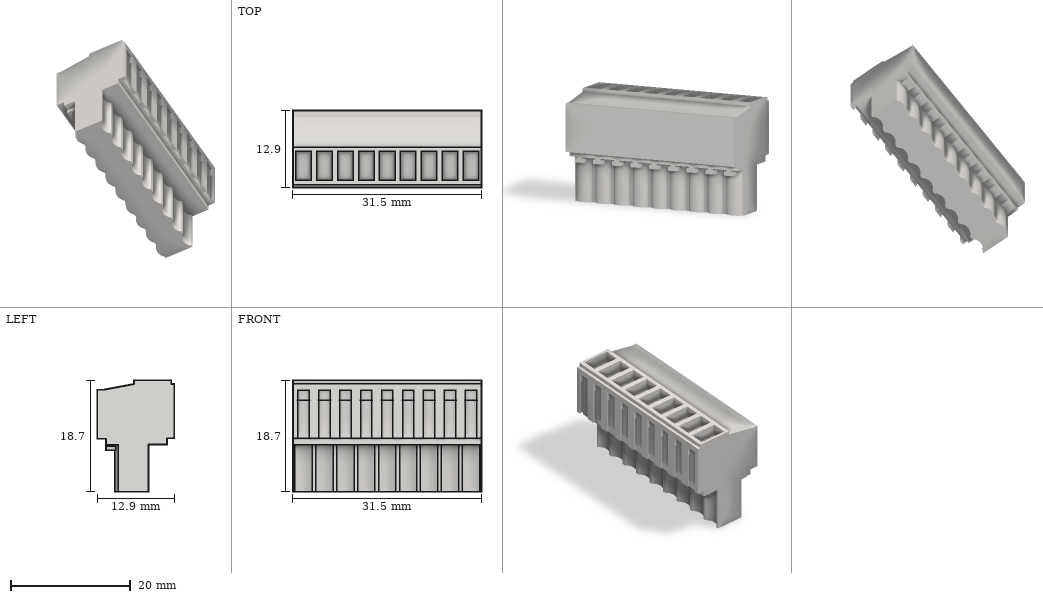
import cadquery as cq

poles = 9
pitch = 3.5
length = poles * pitch
depth = 12.9
height = 18.7
pole_centres = [(i - (poles - 1) / 2) * pitch for i in range(poles)]

lip_y = 0.5
lip_z = 18.05
ridge_back_y = 6.75
slope_top_z = lip_z
slope_end_y = 11.8
back_top_z = 17.1
back_shoulder_z = 8.85
front_shoulder_z = 8.95
neck_front_y = 1.23
neck_back_y = 11.45
leg_top_z = 7.9

leg_front_y = 4.3
leg_back_y = 9.4
round_width = 2.9
flute_depth = 0.73
lobe_rise = 0.58

pocket_width = 2.6
pocket_front_y = 1.2
pocket_back_y = 6.05
pocket_depth = 2.05

slot_width = 1.9
slot_top_z = 17.0
slot_depth = 0.55
groove_top_z = 15.35
groove_floor_width = 2.45

nose_width = 1.7
nose_bottom_z = 6.95
nose_top_z = 7.6
nose_neck_width = 0.8


def box(x_centre, width, y_range, z_range):
    """Block centred on x_centre, spanning the given Y and Z ranges."""
    return (
        cq.Workplane("XY")
        .box(width, y_range[1] - y_range[0], z_range[1] - z_range[0], centered=(True, False, False))
        .translate((x_centre, y_range[0], z_range[0]))
    )


def make_head():
    outline = [
        (neck_front_y, leg_top_z),
        (neck_front_y, front_shoulder_z),
        (0, front_shoulder_z),
        (0, lip_z),
        (lip_y, lip_z),
        (lip_y, height),
        (ridge_back_y, height),
        (ridge_back_y, slope_top_z),
        (slope_end_y, back_top_z),
        (depth, back_top_z),
        (depth, back_shoulder_z),
        (neck_back_y, back_shoulder_z),
        (neck_back_y, leg_top_z),
    ]
    return cq.Workplane("YZ").polyline(outline).close().extrude(length / 2, both=True)


def make_leg():
    """Plug leg with a hollow flute in front of each pole and a rounded lobe behind it."""
    half = round_width / 2
    outline = cq.Workplane("XY").moveTo(-length / 2, leg_front_y)
    for x in pole_centres:
        outline = outline.lineTo(x - half, leg_front_y)
        outline = outline.threePointArc((x, leg_front_y + flute_depth), (x + half, leg_front_y))
    outline = outline.lineTo(length / 2, leg_front_y).lineTo(length / 2, leg_back_y)
    for x in reversed(pole_centres):
        outline = outline.lineTo(x + half, leg_back_y)
        outline = outline.threePointArc((x, leg_back_y + lobe_rise), (x - half, leg_back_y))
    return outline.lineTo(-length / 2, leg_back_y).close().extrude(leg_top_z)


def make_nose(x):
    """T-shaped latching nose hanging from the head and rooted in the leg."""
    y_range = (leg_back_y, neck_back_y)
    bar = box(x, nose_width, y_range, (nose_bottom_z, nose_top_z))
    return bar.union(box(x, nose_neck_width, y_range, (nose_top_z, leg_top_z)))


def make_groove(x):
    """Cutter for the dovetail groove, which is wider at its floor than at the front face."""
    mouth = slot_width / 2
    floor = groove_floor_width / 2
    outline = [
        (x - mouth, 0),
        (x + mouth, 0),
        (x + floor, slot_depth),
        (x - floor, slot_depth),
    ]
    return (
        cq.Workplane("XY")
        .workplane(offset=front_shoulder_z)
        .polyline(outline)
        .close()
        .extrude(groove_top_z - front_shoulder_z)
    )


def make_backing_plate(x):
    """Plate that forms the floor of the groove."""
    return box(x, groove_floor_width, (slot_depth, neck_front_y), (front_shoulder_z, groove_top_z))


def make_housing(backing_plates):
    body = make_head().union(make_leg())
    for x in pole_centres:
        body = body.union(make_nose(x))
    for x in pole_centres:
        body = body.cut(box(x, pocket_width, (pocket_front_y, pocket_back_y), (height - pocket_depth, height)))
        body = body.cut(box(x, slot_width, (0, slot_depth), (front_shoulder_z, slot_top_z)))
        body = body.cut(make_groove(x))
    for plate in backing_plates:
        body = body.cut(plate)
    return body


backing_plates = [make_backing_plate(x) for x in pole_centres]
housing = make_housing(backing_plates)

result = cq.Compound.makeCompound([housing.val(), *[plate.val() for plate in backing_plates]])